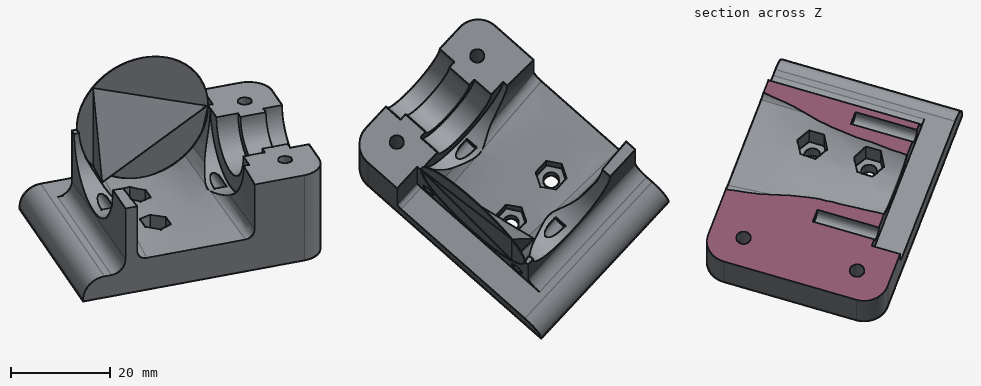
import cadquery as cq
import math

LENGTH_X = 38.0
LENGTH_Y = 52.0
BASE_HEIGHT = 5.0
BODY_HEIGHT = 20.0
LEDGE_WIDTH = 6.0
FRONT_WALL_Y = 9.0
BACK_BLOCK_Y = 39.0
BACK_CORNER_RADIUS = 5.0
NOSE_RADIUS = 4.5
FRONT_FILLET = 3.0
LEDGE_FILLET = 1.0

CAVITY_Y = 24.0
CAVITY_Z = BODY_HEIGHT
CAVITY_RADIUS = 14.0
SQUARE_HALF = 12.5
SQUARE_CORNER = 2.0
DISC_THICKNESS = 0.1

WEB_TIP = (12.4, 13.2, 10.6)
WEB_TOP_Z = 29.2
WEB_RIM_GAP = 0.05

SEAT_X = LENGTH_X / 2
OPENING_RADIUS = 11.5
SEAT_RADIUS = 8.0
NECK_RADIUS = 6.5
NECK_START_Y = 42.6
NECK_END_Y = 48.0
CAVITY_BACK_Y = CAVITY_Y + CAVITY_RADIUS

SCREW_DIAMETER = 2.8
TOP_SCREW_OFFSET = 12.0
TOP_SCREW_Y = 45.45
SIDE_SCREW_OFFSET = 12.0
SIDE_SCREW_END_X = SEAT_X
BOLT_DIAMETER = 3.2
BOLT_XS = (13.0, 25.0)
BOLT_Y = 20.0
NUT_ACROSS_FLATS = 5.5
NUT_FLOOR_Z = 3.0


def make_base():
    base = cq.Workplane("XY").box(LENGTH_X, LENGTH_Y, BASE_HEIGHT, centered=False)
    return base.faces("<Y").edges(">Z").fillet(NOSE_RADIUS)


def make_body():
    """Body over the base, stepped around the ledge, with its concave foot fillets."""
    outline = [
        (LEDGE_WIDTH, FRONT_WALL_Y),
        (LENGTH_X, FRONT_WALL_Y),
        (LENGTH_X, LENGTH_Y),
        (0, LENGTH_Y),
        (0, BACK_BLOCK_Y),
        (LEDGE_WIDTH, BACK_BLOCK_Y),
    ]
    body = cq.Workplane("XY").polyline(outline).close().extrude(BODY_HEIGHT)
    front_foot = make_foot_fillet(FRONT_WALL_Y, FRONT_FILLET, LEDGE_WIDTH, LENGTH_X)
    ledge_foot = make_foot_fillet(BACK_BLOCK_Y, LEDGE_FILLET, 0, LEDGE_WIDTH)
    solid = make_base().union(body).union(front_foot).union(ledge_foot)
    back_corners = solid.faces(">Y").edges("|Z")
    return back_corners.fillet(BACK_CORNER_RADIUS)


def make_foot_fillet(wall_y, radius, start_x, end_x):
    """Concave strip between the base top and a wall that faces -Y."""
    middle = radius * (1 - math.sqrt(0.5))
    return (
        cq.Workplane("YZ", origin=(start_x, wall_y, BASE_HEIGHT))
        .moveTo(0, 0)
        .lineTo(-radius, 0)
        .threePointArc((-middle, middle), (0, radius))
        .close()
        .extrude(end_x - start_x)
    )


def polar(radius, angle):
    return (radius * math.cos(angle), radius * math.sin(angle))


def rotate(point, angle):
    y, z = point
    return (
        y * math.cos(angle) - z * math.sin(angle),
        y * math.sin(angle) + z * math.cos(angle),
    )


def make_cavity():
    """Loft from a circle, split to match the far corners, to a rounded square."""
    straight_half = SQUARE_HALF - SQUARE_CORNER
    corner_middle = straight_half + SQUARE_CORNER * math.sqrt(0.5)
    split = math.atan2(straight_half, SQUARE_HALF)
    quarter_turn = math.pi / 2

    circle = cq.Workplane("YZ", origin=(LEDGE_WIDTH, CAVITY_Y, CAVITY_Z))
    circle = circle.moveTo(*polar(CAVITY_RADIUS, -split))
    square = cq.Workplane("YZ", origin=(LENGTH_X, CAVITY_Y, CAVITY_Z))
    square = square.moveTo(SQUARE_HALF, -straight_half)
    for quarter in range(4):
        turn = quarter * quarter_turn
        circle = circle.threePointArc(
            polar(CAVITY_RADIUS, turn),
            polar(CAVITY_RADIUS, turn + split),
        )
        circle = circle.threePointArc(
            polar(CAVITY_RADIUS, turn + quarter_turn / 2),
            polar(CAVITY_RADIUS, turn + quarter_turn - split),
        )
        square = square.lineTo(*rotate((SQUARE_HALF, straight_half), turn))
        square = square.threePointArc(
            rotate((corner_middle, corner_middle), turn),
            rotate((straight_half, SQUARE_HALF), turn),
        )
    wires = [circle.close().val(), square.close().val()]
    return cq.Workplane(cq.Solid.makeLoft(wires, True))


def make_disc():
    return (
        cq.Workplane("YZ", origin=(LEDGE_WIDTH, CAVITY_Y, CAVITY_Z))
        .circle(CAVITY_RADIUS)
        .extrude(DISC_THICKNESS)
    )


def make_web():
    """Four-sided web rooted in the disc, with its tip at the front of the cavity."""
    root_x = LEDGE_WIDTH + DISC_THICKNESS / 2
    root_radius = CAVITY_RADIUS - WEB_RIM_GAP
    rise = WEB_TOP_Z - CAVITY_Z
    front_y = CAVITY_Y - math.sqrt(root_radius**2 - rise**2)
    back = cq.Vector(root_x, CAVITY_Y + root_radius, CAVITY_Z)
    top = cq.Vector(root_x, front_y, CAVITY_Z + rise)
    bottom = cq.Vector(root_x, front_y, CAVITY_Z - rise)
    tip = cq.Vector(*WEB_TIP)
    triangles = [
        [back, top, bottom],
        [back, top, tip],
        [top, bottom, tip],
        [bottom, back, tip],
    ]
    faces = [
        cq.Face.makeFromWires(cq.Wire.makePolygon(corners, close=True))
        for corners in triangles
    ]
    return cq.Workplane(cq.Solid.makeSolid(cq.Shell.makeShell(faces)))


def seat_cutter(radius, start_y, end_y):
    return cq.Workplane(
        cq.Solid.makeCylinder(
            radius, end_y - start_y, cq.Vector(SEAT_X, start_y, BODY_HEIGHT), cq.Vector(0, 1, 0)
        )
    )


def cut_seats(part):
    part = part.cut(seat_cutter(OPENING_RADIUS, FRONT_WALL_Y, CAVITY_BACK_Y))
    part = part.cut(seat_cutter(SEAT_RADIUS, CAVITY_BACK_Y, NECK_START_Y))
    part = part.cut(seat_cutter(NECK_RADIUS, NECK_START_Y, NECK_END_Y))
    return part.cut(seat_cutter(SEAT_RADIUS, NECK_END_Y, LENGTH_Y))


def cut_top_screws(part):
    places = [(SEAT_X + side * TOP_SCREW_OFFSET, TOP_SCREW_Y) for side in (-1, 1)]
    return part.cut(
        cq.Workplane("XY").pushPoints(places).circle(SCREW_DIAMETER / 2).extrude(BODY_HEIGHT)
    )


def cut_side_screws(part):
    places = [(side * SIDE_SCREW_OFFSET, -SIDE_SCREW_OFFSET) for side in (-1, 1)]
    return part.cut(
        cq.Workplane("YZ", origin=(LEDGE_WIDTH, CAVITY_Y, CAVITY_Z))
        .pushPoints(places)
        .circle(SCREW_DIAMETER / 2)
        .extrude(SIDE_SCREW_END_X - LEDGE_WIDTH)
    )


def cut_floor_bolts(part):
    """Bolt holes through the floor, each with a hexagonal nut pocket above."""
    places = [(x, BOLT_Y) for x in BOLT_XS]
    corner_diameter = NUT_ACROSS_FLATS / math.cos(math.pi / 6)
    holes = cq.Workplane("XY").pushPoints(places).circle(BOLT_DIAMETER / 2).extrude(BODY_HEIGHT)
    pockets = (
        cq.Workplane("XY", origin=(0, 0, NUT_FLOOR_Z))
        .pushPoints(places)
        .polygon(6, corner_diameter)
        .extrude(BODY_HEIGHT - NUT_FLOOR_Z)
    )
    return part.cut(holes).cut(pockets)


part = make_body().cut(make_cavity())
part = cut_seats(part)
part = cut_top_screws(part)
part = cut_side_screws(part)
part = cut_floor_bolts(part)
result = part.union(make_disc().union(make_web()))